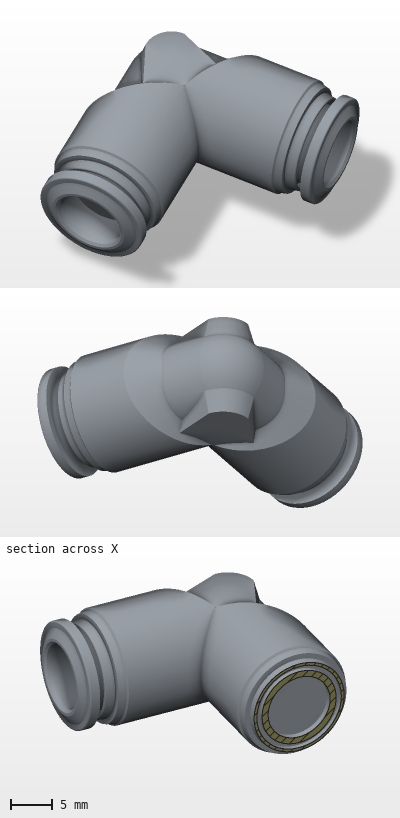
import cadquery as cq
import math


body_radius = 7.25
body_end = 16.85
elbow_radius = 5.6

shoulder_station = 5.32
shoulder_tilt = 30.0
shoulder_taper = 50.5
shoulder_depth = 3.6

cap_edge_end = 17.03
cap_end = 18.0
cap_large_radius = 7.0
cap_small_radius = 6.78
collar_start = 18.13
collar_end = 19.35
collar_large_radius = 6.15
collar_small_radius = 5.97
collar_lead_in = 0.12
collar_bevel = 0.08

recess_radius = 5.6
recess_depth = 1.0

neck_radius = 4.97
flange_start = 20.42
flange_radius = 6.77
flange_face = 21.72
flange_edge_fillet = 0.2
nose_base_radius = 5.95
nose_tip_radius = 4.77
leg_length = 22.4
neck_fillet = 0.53

socket_radius = 4.1
socket_mouth_radius = 4.4
socket_mouth_depth = 0.3
socket_bottom = 18.15

pad_height = 6.5
pad_radius = 3.45
pad_side_angle = 23.4
pad_side_reach = 6.0
pad_inner_corner = 3.4
pad_draft = 15.0


def mouth():
    """Stepped cap, collar and release sleeve, revolved about the X axis."""
    profile = (
        cq.Workplane("XY")
        .moveTo(body_end, 0)
        .lineTo(body_end, body_radius)
        .lineTo(cap_edge_end, cap_large_radius)
        .lineTo(cap_end, cap_small_radius)
        .lineTo(cap_end, collar_large_radius - collar_lead_in)
        .lineTo(collar_start, collar_large_radius)
        .lineTo(collar_end - collar_bevel, collar_small_radius)
        .lineTo(collar_end, collar_small_radius - collar_bevel)
        .lineTo(collar_end, recess_radius)
        .lineTo(collar_end - recess_depth, recess_radius)
        .lineTo(collar_end - recess_depth, neck_radius)
        .lineTo(flange_start - neck_fillet, neck_radius)
        .radiusArc((flange_start, neck_radius + neck_fillet), -neck_fillet)
        .lineTo(flange_start, flange_radius)
        .lineTo(flange_face - flange_edge_fillet, flange_radius)
        .radiusArc((flange_face, flange_radius - flange_edge_fillet), flange_edge_fillet)
        .lineTo(flange_face, nose_base_radius)
        .lineTo(leg_length, nose_tip_radius)
        .lineTo(leg_length, 0)
        .close()
    )
    return profile.revolve(360, (0, 0, 0), (1, 0, 0))


def full_body():
    """Full-size cylinder of a leg, starting at the oblique shoulder plane."""
    lean = body_radius * math.tan(math.radians(shoulder_tilt))
    half_section = (
        cq.Workplane("XY")
        .polyline([
            (shoulder_station - lean, -body_radius),
            (body_end, -body_radius),
            (body_end, body_radius),
            (shoulder_station + lean, body_radius),
        ])
        .close()
        .extrude(body_radius, both=True)
    )
    return cq.Workplane("YZ").circle(body_radius).extrude(body_end).intersect(half_section)


def shoulder():
    """Drafted flank growing from the oblique end of the full body toward the elbow."""
    tilt = math.radians(shoulder_tilt)
    plane = cq.Plane(
        origin=(shoulder_station, 0, 0),
        xDir=(math.sin(tilt), math.cos(tilt), 0),
        normal=(-math.cos(tilt), math.sin(tilt), 0),
    )
    return (
        cq.Workplane(plane)
        .ellipse(body_radius / math.cos(tilt), body_radius)
        .extrude(shoulder_depth, taper=shoulder_taper)
    )


def leg():
    """One solid leg along +X, from the elbow centre to the release sleeve."""
    core = cq.Workplane("YZ").circle(elbow_radius).extrude(body_end)
    return core.union(full_body()).union(shoulder()).union(mouth())


def socket():
    """Blind tube socket along +X with a bevelled mouth."""
    profile = (
        cq.Workplane("XY")
        .moveTo(socket_bottom, 0)
        .lineTo(socket_bottom, socket_radius)
        .lineTo(leg_length - socket_mouth_depth, socket_radius)
        .lineTo(leg_length, socket_mouth_radius)
        .lineTo(leg_length, 0)
        .close()
    )
    return profile.revolve(360, (0, 0, 0), (1, 0, 0))


def pad():
    """Upper pad: rounded over the elbow, with drafted sides running into both shoulders."""
    drop = pad_side_reach * math.tan(math.radians(pad_side_angle))
    arc_middle = pad_radius * math.sqrt(0.5)
    return (
        cq.Workplane("XY", origin=(0, 0, pad_height))
        .moveTo(-pad_radius, 0)
        .threePointArc((-arc_middle, arc_middle), (0, pad_radius))
        .lineTo(pad_side_reach, pad_radius - drop)
        .lineTo(pad_inner_corner, -pad_inner_corner)
        .lineTo(drop - pad_radius, -pad_side_reach)
        .close()
        .extrude(-pad_height, taper=-pad_draft)
    )


def swing_to_second_leg(shape):
    """Mirror a +X shape across the elbow's diagonal plane onto the -Y leg."""
    quarter_turn = 90
    return shape.rotate((0, 0, 0), (0, 0, 1), -quarter_turn).mirror("YZ")


upper_pad = pad()
first_leg = leg()
first_socket = socket()

elbow_ball = cq.Workplane("XY").sphere(elbow_radius)
result = (
    elbow_ball
    .union(first_leg)
    .union(upper_pad)
    .union(swing_to_second_leg(first_leg))
    .union(upper_pad.mirror("XY"))
    .cut(first_socket)
    .cut(swing_to_second_leg(first_socket))
)